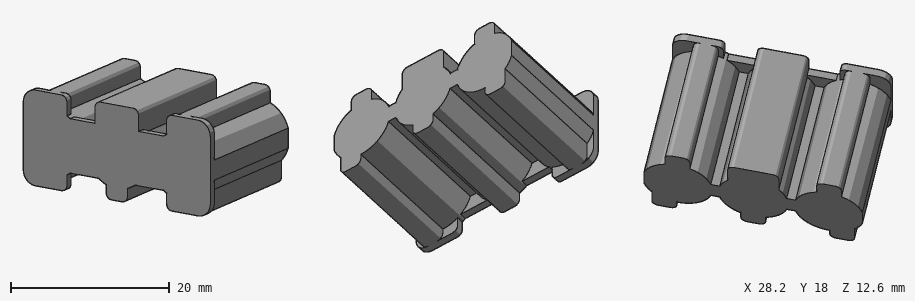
import cadquery as cq

length_x = 28.2
depth_y = 18.0
height_z = 12.6
plate_thickness = 1.0

barrel_radius = 4.5
barrel_pitch = 9.79
barrel_z = -0.2
web_height = 2.65

wide_rail = 6.6
narrow_rail = 3.21
outer_rail_setback = 1.02
rail_fillet = 0.85

end_block_width = 6.6
bridge_height = 7.15
block_outer_fillet = 1.85

top_z = height_z / 2
bottom_z = -height_z / 2
front_y = -depth_y / 2
block_inner_x = length_x / 2 - end_block_width


def bar(x_min, x_max, z_min, z_max, depth=depth_y):
    """Rectangular bar running along Y from the front face."""
    return cq.Workplane("XY").box(x_max - x_min, depth, z_max - z_min, centered=False).translate(
        (x_min, front_y, z_min)
    )


def upper_rail(center_x, width):
    """Rail rising from a barrel, with rounded upper edges."""
    rail = bar(center_x - width / 2, center_x + width / 2, barrel_z, top_z)
    return rail.edges("|Y and >Z").fillet(rail_fillet)


def lower_rail(x_min, x_max):
    """Rail hanging from a barrel, with rounded lower edges."""
    return bar(x_min, x_max, bottom_z, barrel_z).edges("|Y and <Z").fillet(rail_fillet)


def barrel(center_x):
    """Cylinder along the full depth."""
    return (
        cq.Workplane("XZ", origin=(center_x, front_y, barrel_z))
        .circle(barrel_radius)
        .extrude(-depth_y)
    )


def end_block():
    """Right-hand block of the end plate, with larger outer corners."""
    block = bar(block_inner_x, length_x / 2, bottom_z, top_z, plate_thickness)
    block = block.edges("|Y and >X").fillet(block_outer_fillet)
    return block.edges("|Y and <X").fillet(rail_fillet)


body = bar(
    -length_x / 2, length_x / 2, barrel_z - web_height / 2, barrel_z + web_height / 2
)
for barrel_x in (-barrel_pitch, 0, barrel_pitch):
    body = body.union(barrel(barrel_x))
body = body.intersect(bar(-length_x / 2, length_x / 2, bottom_z, top_z))

body = body.union(upper_rail(0, wide_rail))
for barrel_x in (-barrel_pitch, barrel_pitch):
    body = body.union(upper_rail(barrel_x, narrow_rail))

body = body.union(lower_rail(-narrow_rail / 2, narrow_rail / 2))
outer_rail_x = length_x / 2 - outer_rail_setback
outer_rail = lower_rail(outer_rail_x - narrow_rail, outer_rail_x)
body = body.union(outer_rail).union(outer_rail.mirror("YZ"))

bridge = bar(
    -length_x / 2 + block_outer_fillet,
    length_x / 2 - block_outer_fillet,
    barrel_z - bridge_height / 2,
    barrel_z + bridge_height / 2,
    plate_thickness,
)
right_block = end_block()
result = body.union(bridge).union(right_block).union(right_block.mirror("YZ"))